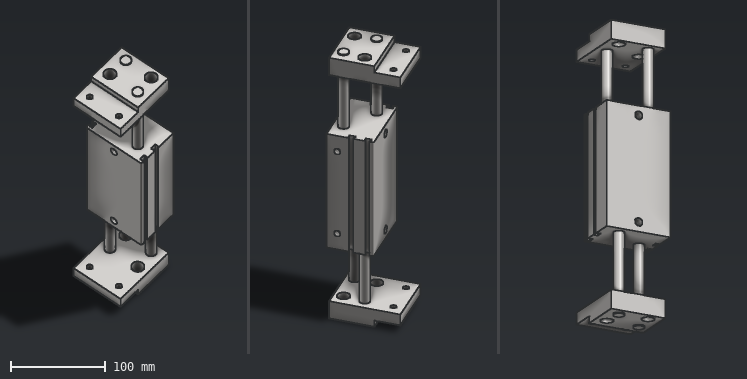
import cadquery as cq
import math


total_length = 328.0
body_width = 76.0
body_depth = 53.0
body_length = 142.0
front_edge_radius = 2.3

rear_slot_place = 27.5
front_slot_place = 46.0
slot_mouth = 5.0
slot_lip = 2.0
slot_depth = 5.2
slot_undercut = 1.0

cross_hole_diameter = 9.0
cross_hole_spacing = 120.0
port_diameter = 7.0
port_spacing = 102.5
port_depth = 10.0
port_tip_angle = 118.0

rod_diameter = 12.0
rod_protrusion = 1.3
rear_rod_x = -17.5
front_rod_x = 19.0
rear_rod_y = -12.0
front_rod_y = -36.5

plate_width = 64.5
plate_thickness = 21.5
plate_back_inset = 1.0
plate_depth = 80.0
block_depth = 51.0
lip_thickness = 13.8
clearance_diameter = 14.0
mount_hole_diameter = 6.5
mount_hole_spacing = 40.0
mount_hole_edge_distance = 12.0

plate_outer_z = total_length / 2 - rod_protrusion
plate_inner_z = plate_outer_z - plate_thickness
plate_front_y = -plate_back_inset - plate_depth
upper_rods = [(rear_rod_x, rear_rod_y), (front_rod_x, front_rod_y)]
lower_rods = [(-x, y) for x, y in upper_rods]


def t_slot(side, place):
    """T-slot cutter along the body on one side (side is -1 or 1)."""
    mouth_x = side * body_width / 2
    neck = (
        cq.Workplane("XY")
        .center(mouth_x, -place)
        .rect(2 * slot_depth, slot_mouth)
        .extrude(body_length / 2, both=True)
    )
    undercut_depth = slot_depth - slot_lip
    undercut = (
        cq.Workplane("XY")
        .center(mouth_x - side * (slot_lip + undercut_depth / 2), -place)
        .rect(undercut_depth, slot_mouth + 2 * slot_undercut)
        .extrude(body_length / 2, both=True)
    )
    return neck.union(undercut)


def port(z):
    """Blind drilled hole with a conical tip, entering the left side of the body."""
    radius = port_diameter / 2
    tip_depth = radius / math.tan(math.radians(port_tip_angle / 2))
    entry_x = -body_width / 2
    straight_end_x = entry_x + port_depth
    return (
        cq.Workplane("XY", origin=(0, rear_rod_y, z))
        .moveTo(entry_x, 0)
        .lineTo(entry_x, radius)
        .lineTo(straight_end_x, radius)
        .lineTo(straight_end_x + tip_depth, 0)
        .close()
        .revolve(360, (0, 0, 0), (1, 0, 0))
    )


def make_body():
    body = (
        cq.Workplane("XY")
        .box(body_width, body_depth, body_length)
        .translate((0, -body_depth / 2, 0))
        .edges("|Z and <Y")
        .fillet(front_edge_radius)
    )
    for side in (-1, 1):
        body = body.cut(t_slot(side, rear_slot_place))
        body = body.cut(t_slot(side, front_slot_place))
    cross_holes = (
        cq.Workplane("XZ")
        .rarray(3.3, cross_hole_spacing, 1, 2)
        .circle(cross_hole_diameter / 2)
        .extrude(body_depth)
    )
    body = body.cut(cross_holes)
    for z in (-port_spacing / 2, port_spacing / 2):
        body = body.cut(port(z))
    return body


def make_upper_end():
    """Upper end plate together with the rods that carry it."""
    lip_outer_z = plate_inner_z + lip_thickness
    step_y = -plate_back_inset - block_depth
    plate = (
        cq.Workplane("YZ")
        .moveTo(-plate_back_inset, plate_inner_z)
        .lineTo(-plate_back_inset, plate_outer_z)
        .lineTo(step_y, plate_outer_z)
        .lineTo(step_y, lip_outer_z)
        .lineTo(plate_front_y, lip_outer_z)
        .lineTo(plate_front_y, plate_inner_z)
        .close()
        .extrude(plate_width / 2, both=True)
    )
    hole_plane = cq.Workplane("XY", origin=(0, 0, plate_inner_z))
    clearance_holes = (
        hole_plane.pushPoints(lower_rods)
        .circle(clearance_diameter / 2)
        .extrude(plate_thickness)
    )
    mount_holes = (
        hole_plane.center(0, plate_front_y + mount_hole_edge_distance)
        .rarray(mount_hole_spacing, 3.3, 2, 1)
        .circle(mount_hole_diameter / 2)
        .extrude(lip_thickness)
    )
    rods = (
        cq.Workplane("XY", origin=(0, 0, body_length / 2))
        .pushPoints(upper_rods)
        .circle(rod_diameter / 2)
        .extrude(total_length / 2 - body_length / 2)
    )
    return plate.cut(clearance_holes).cut(mount_holes).union(rods)


upper_end = make_upper_end()
lower_end = upper_end.rotate((0, 0, 0), (0, 1, 0), 180)
result = make_body().union(upper_end).union(lower_end)